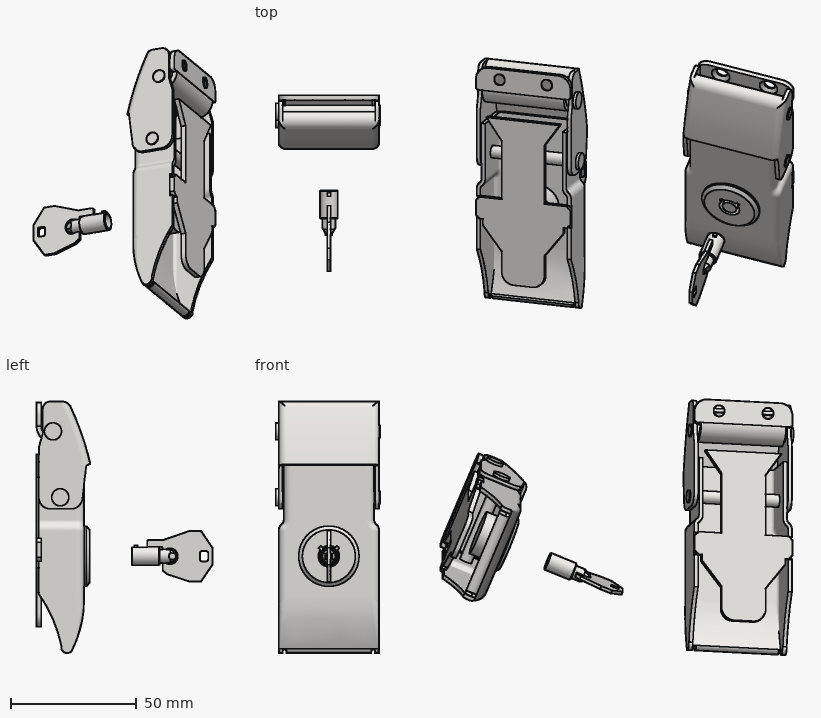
import cadquery as cq
import math


HALF_WIDTH = 20.0
WALL = 1.6
EDGE_RADIUS = 3.0
PLATE = 2.0
CLEAR = 5.0

HOUSING_BACK = 1.0
HOUSING_FRONT = 19.0
HOUSING_TOP = 76.0
NECK_HALF_WIDTH = 18.0
NECK_BOTTOM = 52.9
SHOULDER_BOTTOM = 48.7
SHOULDER_OUTER_RADIUS = 3.2
TAPER_TOP = 21.4
TAPER_RADIUS = 45.0
TAPER_SECTIONS = 6
TIP_EDGE_RADIUS = 0.3
TIP_TOP = 1.7
BACK_CURVE = ((HOUSING_BACK, 23.4), (5.9, 14.9), (9.9, 2.8))
TIP_BOTTOM_DEPTH = 12.4
RELIEF_WIDTH = 1.4
RELIEF_HEIGHT = 1.5
RELIEF_X = 17.6

BASE_TOP = 79.0
BASE_BOTTOM = 10.4
BASE_TOP_HALF_WIDTH = 15.5
BASE_WAIST = 9.0
BASE_WAIST_TOP = 69.9
BASE_FLARE_HALF_WIDTH = 17.0
BASE_FLARE_TOP = 34.0
BASE_FLARE_BOTTOM = 23.9
TAB_TOP = 45.6
TAB_BOTTOM = 36.5
TAB_CHAMFER = 1.5
PLATE_CORNER_RADIUS = 5.0

LEVER_TOP = 100.0
LEVER_BOTTOM = 57.3
LEVER_UPPER_BACK = 2.5
LEVER_LOWER_BACK = 1.0
LEVER_BACK_STEP = (87.1, 82.0)
LEVER_BOTTOM_RADIUS = 4.5
LEVER_TOP_RADIUS = 3.0
COVER_RADIUS = 116.0
COVER_CENTER = (-91.5, 48.8)
COVER_ROLL_RADIUS = 3.9
LIP_HEIGHT = 75.1
LIP_SLOPE = 0.37
CHEEK_FRONT = 18.3
COVER_BACK = 6.5

PIN_DIAMETER = 5.0
PIN_HEAD_DIAMETER = 6.8
PIN_HEAD_HEIGHT = 1.2
PIN_END = 0.5
UPPER_PIN = (6.6, 88.1)
LOWER_PIN = (9.5, 61.9)

CATCH_TOP = 99.6
CATCH_BOTTOM = 90.1
CATCH_LOWER_CORNER_RADIUS = 1.0
HOOK_HALF_WIDTH = 17.3
HOOK_INNER_RADIUS = 4.6
HOOK_CENTER_HEIGHT = 90.2
HOOK_TURN = math.radians(130)
SCREW_X = 10.0
SCREW_HEIGHT = 95.2
SCREW_HOLE = 4.5
SCREW_SINK = 7.5
SCREW_SINK_ANGLE = 90.0

LOCK_HEIGHT = 38.5
LOCK_RADIUS = 12.0
LOCK_FACE_RADIUS = 10.5
LOCK_RIM = 0.85
LOCK_FACE = 21.2
LOCK_BODY_RADIUS = 9.0
LOCK_BODY_BACK = 8.0
KEYWAY_OUTER_RADIUS = 4.2
KEYWAY_INNER_RADIUS = 2.9
KEYWAY_DEPTH = 4.0
KEYWAY_NOTCH_WIDTH = 1.3
KEYWAY_NOTCH_RADIUS = 5.2
KEYWAY_NOTCH_ANGLE = 45.0

BARREL_RADIUS = 3.6
BARREL_BORE_RADIUS = 2.9
BARREL_BORE_DEPTH = 8.0
BARREL_CHAMFER = 0.3
BARREL_BACK = 37.8
BARREL_FRONT = 49.0
SHANK_RADIUS = 2.7
SHANK_FRONT = 53.2
CONE_FRONT = 55.6
CONE_RADIUS = 1.4
FLAT_DIAMETER = 3.2
FLAT_OUTER = (2.6, 52.6)
FLAT_INNER = (1.1, 55.5)
BIT_RANGE = (38.8, 40.2)
BIT_HEIGHT = 4.4
BLADE = 1.4
BLADE_FRONT = 70.0
BLADE_TAB_BACK = 44.0
BLADE_TAB_BOTTOM = 3.7
BLADE_TAB_TOP = 6.5
BLADE_TAB_RADIUS = 0.6
BLADE_HALF_HEIGHT = 10.1
BLADE_END_HALF_HEIGHT = 3.3
BLADE_NECK = 50.5
BLADE_WIDE_START = 60.8
BLADE_WIDE_END = 65.4
BLADE_REAR = 50.1
BLADE_HEEL_FRONT = (52.0, -7.2)
BLADE_HEEL_REAR = (BLADE_REAR, -5.7)
BLADE_SLOT_END = 53.0
BLADE_SLOT_END_RADIUS = 3.1
RING_HOLE_DEPTH = 66.6
RING_HOLE = (3.2, 4.0)
RING_HOLE_RADIUS = 0.8


def side_plane(x=0.0):
    """Plane across X: local x is depth, local y is height, extruding toward -X."""
    return cq.Workplane(cq.Plane(origin=(x, 0, 0), xDir=(0, -1, 0), normal=(-1, 0, 0)))


def front_plane(depth=0.0):
    """Plane at a depth: local x is X, local y is height, extruding forward."""
    return cq.Workplane("XZ").workplane(offset=depth)


def cross_cylinder(place, diameter):
    """Cylinder along X through the whole assembly at (depth, height)."""
    return side_plane().center(*place).circle(diameter / 2).extrude(HALF_WIDTH + CLEAR, both=True)


def housing_front_depth(height):
    """Depth of the front face: flat, then an arc below TAPER_TOP."""
    drop = TAPER_TOP - height
    return HOUSING_FRONT - TAPER_RADIUS + math.sqrt(TAPER_RADIUS ** 2 - drop ** 2)


def housing_upper(inset, back, top):
    """Neck, shoulders and straight body, shrunk by `inset` and rounded along the front edges."""
    neck = NECK_HALF_WIDTH - inset
    body = HALF_WIDTH - inset
    radius_sum = ((NECK_BOTTOM - SHOULDER_BOTTOM) ** 2 + (body - neck) ** 2) / (2 * (body - neck))
    outer = SHOULDER_OUTER_RADIUS - inset
    inner = radius_sum - outer
    turn = math.asin((NECK_BOTTOM - SHOULDER_BOTTOM) / radius_sum)

    def on_outer(angle):
        return body - outer * (1 - math.cos(angle)), SHOULDER_BOTTOM + outer * math.sin(angle)

    def on_inner(angle):
        return neck + inner * (1 - math.cos(angle)), NECK_BOTTOM - inner * math.sin(angle)

    half = (
        front_plane(back)
        .moveTo(0, TAPER_TOP)
        .lineTo(body, TAPER_TOP)
        .lineTo(body, SHOULDER_BOTTOM)
        .threePointArc(on_outer(turn / 2), on_outer(turn))
        .threePointArc(on_inner(turn / 2), (neck, NECK_BOTTOM))
        .lineTo(neck, top)
        .lineTo(0, top)
        .close()
        .extrude(HOUSING_FRONT - inset - back)
    )
    solid = half.union(half.mirror("YZ"))
    long_edges = solid.faces("<Y").edges("not #X").edges("not(<Z or >Z)")
    return solid.newObject(long_edges.vals()).fillet(EDGE_RADIUS - inset)


def housing_section(height, inset, back):
    """Horizontal outline of the tapered part; its edge radius shrinks toward the tip."""
    blend = height / TAPER_TOP
    radius = TIP_EDGE_RADIUS + (EDGE_RADIUS - TIP_EDGE_RADIUS) * blend
    radius = max(radius - inset, TIP_EDGE_RADIUS / 2)
    x = HALF_WIDTH - inset
    y = -(housing_front_depth(height) - inset)
    middle = radius * (1 - math.sqrt(0.5))
    return (
        cq.Workplane("XY", origin=(0, 0, height))
        .moveTo(-x, -back)
        .lineTo(-x, y + radius)
        .threePointArc((-x + middle, y + middle), (-x + radius, y))
        .lineTo(x - radius, y)
        .threePointArc((x - middle, y + middle), (x, y + radius))
        .lineTo(x, -back)
        .close()
        .val()
    )


def housing_taper(inset, back, bottom):
    """Lower part of the housing, lofted through sections that follow the curved front."""
    step = (TAPER_TOP - bottom) / (TAPER_SECTIONS - 1)
    wires = [housing_section(bottom + step * i, inset, back) for i in range(TAPER_SECTIONS)]
    return cq.Workplane(cq.Solid.makeLoft(wires))


def housing_side_limit():
    """Side outline of the housing: straight back, curved lower back and rounded tip."""
    start, middle, end = BACK_CURVE
    outside = HOUSING_FRONT + CLEAR
    return (
        side_plane()
        .moveTo(HOUSING_BACK, HOUSING_TOP)
        .lineTo(*start)
        .threePointArc(middle, end)
        .threePointArc((TIP_BOTTOM_DEPTH, 0), (housing_front_depth(TIP_TOP), TIP_TOP))
        .lineTo(outside, TIP_TOP)
        .lineTo(outside, HOUSING_TOP)
        .close()
        .extrude(HALF_WIDTH + CLEAR, both=True)
    )


def tip_reliefs():
    """Round-topped slits that part the front sheet from the side walls at the tip."""
    straight = RELIEF_HEIGHT - RELIEF_WIDTH / 2
    slits = front_plane().pushPoints([(-RELIEF_X, 0), (RELIEF_X, 0)])
    slits = slits.rect(RELIEF_WIDTH, 2 * straight).extrude(HOUSING_FRONT)
    ends = front_plane().pushPoints([(-RELIEF_X, straight), (RELIEF_X, straight)])
    return slits.union(ends.circle(RELIEF_WIDTH / 2).extrude(HOUSING_FRONT))


def make_housing():
    outer = housing_upper(0, HOUSING_BACK, HOUSING_TOP).union(housing_taper(0, HOUSING_BACK, 0))
    outer = outer.intersect(housing_side_limit())
    cavity = housing_upper(WALL, 0, HOUSING_TOP + CLEAR).union(housing_taper(WALL, 0, WALL))
    tab_notch = (
        front_plane()
        .center(0, (TAB_TOP + TAB_BOTTOM) / 2)
        .rect(2 * (HALF_WIDTH + CLEAR), TAB_TOP - TAB_BOTTOM)
        .extrude(PLATE)
    )
    lock_hole = front_plane().center(0, LOCK_HEIGHT).circle(LOCK_BODY_RADIUS).extrude(LOCK_FACE)
    housing = outer.cut(cavity).cut(tab_notch).cut(lock_hole).cut(tip_reliefs())
    return housing.cut(cross_cylinder(LOWER_PIN, PIN_DIAMETER))


def make_base_plate():
    """Flat mounting plate with a waist, two side tabs and a rounded lower end."""
    right_side = [
        (BASE_TOP_HALF_WIDTH, BASE_TOP),
        (BASE_WAIST, BASE_WAIST_TOP),
        (BASE_WAIST, TAB_TOP),
        (HALF_WIDTH - TAB_CHAMFER, TAB_TOP),
        (HALF_WIDTH, TAB_TOP - TAB_CHAMFER),
        (HALF_WIDTH, TAB_BOTTOM + TAB_CHAMFER),
        (HALF_WIDTH - TAB_CHAMFER, TAB_BOTTOM),
        (BASE_FLARE_HALF_WIDTH, TAB_BOTTOM),
        (BASE_FLARE_HALF_WIDTH, BASE_FLARE_TOP),
        (BASE_WAIST, BASE_FLARE_BOTTOM),
        (BASE_WAIST, BASE_BOTTOM),
    ]
    left_side = [(-x, z) for x, z in reversed(right_side)]
    plate = front_plane().polyline(right_side + left_side).close().extrude(PLATE)
    lower_corners = plate.faces("<Z").edges("|Y")
    return lower_corners.fillet(PLATE_CORNER_RADIUS)


def cover_depth(height, inset=0.0):
    """Depth of the cover's curved front at a height, or of its inner face."""
    radius = COVER_RADIUS - inset
    return COVER_CENTER[0] + math.sqrt(radius ** 2 - (height - COVER_CENTER[1]) ** 2)


ROLL_HEIGHT = LEVER_TOP - COVER_ROLL_RADIUS
ROLL_DEPTH = cover_depth(ROLL_HEIGHT, COVER_ROLL_RADIUS)


def roll_point(radius, angle):
    """Point on the rolled top edge; the angle is measured from the front toward the top."""
    return ROLL_DEPTH + radius * math.cos(angle), ROLL_HEIGHT + radius * math.sin(angle)


def roll_start_angle():
    """Angle where the curved front runs into the roll."""
    return math.atan2(ROLL_HEIGHT - COVER_CENTER[1], ROLL_DEPTH - COVER_CENTER[0])


def roll_back_angle(radius):
    """Angle where the roll reaches the rear edge of the cover."""
    return math.acos((COVER_BACK - ROLL_DEPTH) / radius)


def lever_blank():
    """Full-width block under the cover's curve, carried past both ends and rounded at the sides."""
    step_top, step_bottom = LEVER_BACK_STEP
    over = LEVER_TOP + CLEAR
    middle = (LEVER_TOP + LEVER_BOTTOM) / 2
    blank = (
        side_plane()
        .moveTo(LEVER_UPPER_BACK, over)
        .lineTo(cover_depth(over), over)
        .threePointArc((cover_depth(middle), middle), (cover_depth(LEVER_BOTTOM), LEVER_BOTTOM))
        .lineTo(LEVER_LOWER_BACK, LEVER_BOTTOM)
        .lineTo(LEVER_LOWER_BACK, step_bottom)
        .lineTo(LEVER_UPPER_BACK, step_top)
        .close()
        .extrude(HALF_WIDTH, both=True)
    )
    blank = blank.edges("%CIRCLE").fillet(EDGE_RADIUS)
    return blank.edges("|X").edges("<Z").edges(">Y").fillet(LEVER_BOTTOM_RADIUS)


def above_lever():
    """Space over the flat top of the cheeks and in front of the rolled edge."""
    over = LEVER_TOP + 2 * CLEAR
    start = roll_start_angle()
    rear_corner = LEVER_UPPER_BACK + LEVER_TOP_RADIUS
    reach = LEVER_TOP_RADIUS * (1 - math.sqrt(0.5))
    front = roll_point(COVER_ROLL_RADIUS + CLEAR, start)
    return (
        side_plane()
        .moveTo(LEVER_UPPER_BACK, over)
        .lineTo(LEVER_UPPER_BACK, LEVER_TOP - LEVER_TOP_RADIUS)
        .threePointArc((LEVER_UPPER_BACK + reach, LEVER_TOP - reach), (rear_corner, LEVER_TOP))
        .lineTo(ROLL_DEPTH, LEVER_TOP)
        .threePointArc(
            roll_point(COVER_ROLL_RADIUS, (start + math.pi / 2) / 2),
            roll_point(COVER_ROLL_RADIUS, start),
        )
        .lineTo(*front)
        .lineTo(front[0], over)
        .close()
        .extrude(HALF_WIDTH + CLEAR, both=True)
    )


def below_cover():
    """Space in front of the cheeks, under the cover's lip and round the cheeks' lower corner."""
    lip_depth = cover_depth(LIP_HEIGHT)
    outside = lip_depth + CLEAR
    corner_depth = CHEEK_FRONT - LEVER_BOTTOM_RADIUS
    corner_height = LEVER_BOTTOM + LEVER_BOTTOM_RADIUS
    reach = LEVER_BOTTOM_RADIUS * math.sqrt(0.5)
    return (
        side_plane()
        .moveTo(lip_depth - WALL, LIP_HEIGHT - LIP_SLOPE * WALL)
        .lineTo(outside, LIP_HEIGHT + LIP_SLOPE * CLEAR)
        .lineTo(outside, LEVER_BOTTOM - CLEAR)
        .lineTo(corner_depth, LEVER_BOTTOM - CLEAR)
        .lineTo(corner_depth, LEVER_BOTTOM)
        .threePointArc((corner_depth + reach, corner_height - reach), (CHEEK_FRONT, corner_height))
        .close()
        .extrude(HALF_WIDTH + CLEAR, both=True)
    )


def lever_cavity():
    """Space between the cheeks, behind the cover and under its rolled top."""
    inner = COVER_ROLL_RADIUS - WALL
    start = roll_start_angle()
    middle = (ROLL_HEIGHT + LEVER_BOTTOM) / 2
    return (
        side_plane()
        .moveTo(0, ROLL_HEIGHT)
        .lineTo(*roll_point(inner, math.pi))
        .threePointArc(roll_point(inner, (start + math.pi) / 2), roll_point(inner, start))
        .threePointArc((cover_depth(middle, WALL), middle), (cover_depth(LEVER_BOTTOM, WALL), LEVER_BOTTOM))
        .lineTo(0, LEVER_BOTTOM)
        .close()
        .extrude(HALF_WIDTH - WALL, both=True)
    )


def behind_roll():
    """Space between the cheeks behind and over the rear half of the rolled top."""
    back = roll_back_angle(COVER_ROLL_RADIUS)
    return (
        side_plane()
        .moveTo(0, ROLL_HEIGHT)
        .lineTo(COVER_BACK, ROLL_HEIGHT)
        .lineTo(*roll_point(COVER_ROLL_RADIUS, back))
        .threePointArc(
            roll_point(COVER_ROLL_RADIUS, (back + math.pi / 2) / 2),
            (ROLL_DEPTH, LEVER_TOP),
        )
        .lineTo(0, LEVER_TOP)
        .close()
        .extrude(HALF_WIDTH - WALL, both=True)
    )


def make_lever():
    lever = lever_blank().cut(above_lever()).cut(below_cover())
    lever = lever.cut(lever_cavity()).cut(behind_roll())
    for place in (UPPER_PIN, LOWER_PIN):
        lever = lever.cut(cross_cylinder(place, PIN_DIAMETER))
    return lever


def make_pin(place):
    """Headed pin: the head bears on the -X cheek and the end shows past the +X cheek."""
    length = 2 * HALF_WIDTH + PIN_END
    shaft = side_plane(HALF_WIDTH + PIN_END).center(*place).circle(PIN_DIAMETER / 2).extrude(length)
    head = side_plane(-HALF_WIDTH).center(*place).circle(PIN_HEAD_DIAMETER / 2)
    return shaft.union(head.extrude(PIN_HEAD_HEIGHT))


def catch_hook():
    """Lower edge of the catch plate rolled forward under the upper pin."""
    center_depth = PLATE + HOOK_INNER_RADIUS
    outer = HOOK_INNER_RADIUS + PLATE
    joint = HOOK_CENTER_HEIGHT + CATCH_LOWER_CORNER_RADIUS

    def on_arc(radius, angle):
        return (center_depth - radius * math.cos(angle), HOOK_CENTER_HEIGHT - radius * math.sin(angle))

    return (
        side_plane()
        .moveTo(0, joint)
        .lineTo(*on_arc(outer, 0))
        .threePointArc(on_arc(outer, HOOK_TURN / 2), on_arc(outer, HOOK_TURN))
        .lineTo(*on_arc(HOOK_INNER_RADIUS, HOOK_TURN))
        .threePointArc(on_arc(HOOK_INNER_RADIUS, HOOK_TURN / 2), on_arc(HOOK_INNER_RADIUS, 0))
        .lineTo(PLATE, joint)
        .close()
        .extrude(HOOK_HALF_WIDTH, both=True)
    )


def make_catch_plate():
    height = CATCH_TOP - CATCH_BOTTOM
    plate = (
        front_plane()
        .center(0, CATCH_BOTTOM + height / 2)
        .rect(2 * HALF_WIDTH, height)
        .extrude(PLATE)
    )
    plate = plate.faces(">Z").edges("|Y").fillet(PLATE_CORNER_RADIUS)
    plate = plate.faces("<Z").edges("|Y").fillet(CATCH_LOWER_CORNER_RADIUS)
    plate = (
        plate.faces("<Y")
        .workplane(origin=(0, -PLATE, SCREW_HEIGHT))
        .pushPoints([(-SCREW_X, 0), (SCREW_X, 0)])
        .cskHole(SCREW_HOLE, SCREW_SINK, SCREW_SINK_ANGLE)
    )
    return plate.union(catch_hook())


def keyway():
    """Ring-shaped keyway with two radial notches in its upper half."""
    ring = (
        front_plane(LOCK_FACE - KEYWAY_DEPTH)
        .center(0, LOCK_HEIGHT)
        .circle(KEYWAY_OUTER_RADIUS)
        .circle(KEYWAY_INNER_RADIUS)
        .extrude(KEYWAY_DEPTH)
    )
    middle = (KEYWAY_INNER_RADIUS + KEYWAY_NOTCH_RADIUS) / 2
    length = KEYWAY_NOTCH_RADIUS - KEYWAY_INNER_RADIUS
    for angle in (KEYWAY_NOTCH_ANGLE, -KEYWAY_NOTCH_ANGLE):
        notch = (
            front_plane(LOCK_FACE - KEYWAY_DEPTH)
            .center(0, LOCK_HEIGHT)
            .transformed(rotate=(0, 0, angle))
            .center(0, middle)
            .rect(KEYWAY_NOTCH_WIDTH, length)
            .extrude(KEYWAY_DEPTH)
        )
        ring = ring.union(notch)
    return ring


def make_lock():
    rim_front = HOUSING_FRONT + LOCK_RIM
    half_section = [
        (0, -LOCK_BODY_BACK),
        (LOCK_BODY_RADIUS, -LOCK_BODY_BACK),
        (LOCK_BODY_RADIUS, -HOUSING_FRONT),
        (LOCK_RADIUS, -HOUSING_FRONT),
        (LOCK_RADIUS, -rim_front),
        (LOCK_FACE_RADIUS, -LOCK_FACE),
        (0, -LOCK_FACE),
    ]
    body = (
        cq.Workplane("XY", origin=(0, 0, LOCK_HEIGHT))
        .polyline(half_section)
        .close()
        .revolve(360, (0, 0, 0), (0, 1, 0))
    )
    return body.cut(keyway())


def cone_flat(side):
    """Cutter for the round flat on one side of the cone (`side` is +1 or -1)."""
    (outer_x, outer_depth), (inner_x, inner_depth) = FLAT_OUTER, FLAT_INNER
    middle = (side * (outer_x + inner_x) / 2, -(outer_depth + inner_depth) / 2, LOCK_HEIGHT)
    outward = (side * (inner_depth - outer_depth), -(outer_x - inner_x), 0)
    plane = cq.Plane(origin=middle, xDir=(0, 0, 1), normal=outward)
    return cq.Workplane(plane).circle(FLAT_DIAMETER / 2).extrude(SHANK_RADIUS)


def make_key_stem():
    """Tubular barrel with its bit, and the shank with a coned, flatted end."""
    half_section = [
        (0, -BARREL_BACK),
        (BARREL_RADIUS - BARREL_CHAMFER, -BARREL_BACK),
        (BARREL_RADIUS, -BARREL_BACK - BARREL_CHAMFER),
        (BARREL_RADIUS, -BARREL_FRONT + BARREL_CHAMFER),
        (BARREL_RADIUS - BARREL_CHAMFER, -BARREL_FRONT),
        (SHANK_RADIUS, -BARREL_FRONT),
        (SHANK_RADIUS, -SHANK_FRONT),
        (CONE_RADIUS, -CONE_FRONT),
        (0, -CONE_FRONT),
    ]
    stem = (
        cq.Workplane("XY", origin=(0, 0, LOCK_HEIGHT))
        .polyline(half_section)
        .close()
        .revolve(360, (0, 0, 0), (0, 1, 0))
    )
    bit_back, bit_front = BIT_RANGE
    bit = (
        front_plane(bit_back)
        .center(0, LOCK_HEIGHT + BIT_HEIGHT / 2)
        .rect(BLADE, BIT_HEIGHT)
        .extrude(bit_front - bit_back)
    )
    bore = front_plane(BARREL_BACK).center(0, LOCK_HEIGHT).circle(BARREL_BORE_RADIUS)
    stem = stem.union(bit).cut(bore.extrude(BARREL_BORE_DEPTH))
    for side in (1, -1):
        stem = stem.cut(cone_flat(side))
    return stem


def make_key_blade():
    """Flat bow with a tab over the barrel, a slot for the shank and a ring hole."""
    outline = [
        (BLADE_TAB_BACK, BLADE_TAB_BOTTOM),
        (BLADE_TAB_BACK, BLADE_TAB_TOP),
        (BLADE_NECK, BLADE_TAB_TOP),
        (BLADE_WIDE_START, BLADE_HALF_HEIGHT),
        (BLADE_WIDE_END, BLADE_HALF_HEIGHT),
        (BLADE_FRONT, BLADE_END_HALF_HEIGHT),
        (BLADE_FRONT, -BLADE_END_HALF_HEIGHT),
        (BLADE_WIDE_END, -BLADE_HALF_HEIGHT),
        (BLADE_WIDE_START, -BLADE_HALF_HEIGHT),
        BLADE_HEEL_FRONT,
        BLADE_HEEL_REAR,
        (BLADE_REAR, BLADE_TAB_BOTTOM),
    ]
    plane = side_plane().center(0, LOCK_HEIGHT)
    blade = plane.polyline(outline).close().extrude(BLADE / 2, both=True)
    for depth, height in ((BLADE_TAB_BACK, BLADE_TAB_TOP), (BLADE_REAR, BLADE_TAB_BOTTOM)):
        corner = cq.selectors.NearestToPointSelector((0, -depth, LOCK_HEIGHT + height))
        blade = blade.edges("|X").edges(corner).fillet(BLADE_TAB_RADIUS)
    slot_length = BLADE_SLOT_END - BLADE_REAR
    slot = (
        side_plane()
        .center(BLADE_REAR + slot_length / 2, LOCK_HEIGHT)
        .rect(slot_length, 2 * SHANK_RADIUS)
        .extrude(BLADE, both=True)
    )
    slot_end = side_plane().center(BLADE_SLOT_END, LOCK_HEIGHT).circle(BLADE_SLOT_END_RADIUS)
    ring_hole = (
        side_plane()
        .center(RING_HOLE_DEPTH, LOCK_HEIGHT)
        .rect(*RING_HOLE)
        .extrude(BLADE, both=True)
        .edges("|X")
        .fillet(RING_HOLE_RADIUS)
    )
    return blade.cut(slot).cut(slot_end.extrude(BLADE, both=True)).cut(ring_hole)


housing = make_housing()
base_plate = make_base_plate()
lever = make_lever()
pins = [make_pin(place) for place in (UPPER_PIN, LOWER_PIN)]
catch_plate = make_catch_plate()
lock = make_lock()
key_stem = make_key_stem()
key_blade = make_key_blade()

bodies = [housing, base_plate, lever, *pins, catch_plate, lock, key_stem, key_blade]
result = cq.Compound.makeCompound([body.val() for body in bodies])